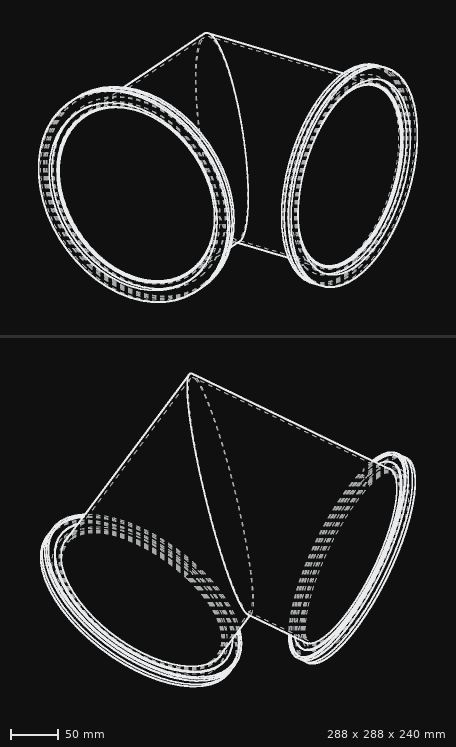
import cadquery as cq
leg_length = 168.0

tube_outer_diameter = 203.2
tube_inner_diameter = 197.0

flange_diameter = 240.0
flange_thickness = 12.0
flange_bore_diameter = 200.0
seal_recess_diameter = 213.0
seal_recess_depth = 5.0
socket_diameter = 204.0
socket_depth = 5.0
rim_groove_bottom_diameter = 235.0

hub_diameter = 218.3
rim_inner_diameter = 235.0
back_recess_depth = 1.7

flange_back = leg_length - flange_thickness
tube_end = flange_back + socket_depth


def ring(outer_diameter, inner_diameter, start, end):
    """Ring around the Y axis, between two distances from the origin toward -Y."""
    return (
        cq.Workplane("XZ", origin=(0, -start, 0))
        .circle(outer_diameter / 2)
        .circle(inner_diameter / 2)
        .extrude(end - start)
    )


def make_rim_groove():
    """Round groove that runs around the middle of the flange edge."""
    groove_radius = (flange_diameter - rim_groove_bottom_diameter) / 2
    groove_center = (flange_diameter / 2, -(leg_length - flange_thickness / 2))
    return (
        cq.Workplane("XY")
        .moveTo(*groove_center)
        .circle(groove_radius)
        .revolve(360, (0, 0, 0), (0, 1, 0))
    )


def make_flange():
    """Flange on the -Y leg, with a socket at the back that takes the tube end."""
    seal_floor = leg_length - seal_recess_depth
    return (
        ring(flange_diameter, flange_bore_diameter, flange_back, leg_length)
        .cut(ring(seal_recess_diameter, flange_bore_diameter, seal_floor, leg_length))
        .cut(ring(socket_diameter, flange_bore_diameter, flange_back, tube_end))
        .cut(ring(rim_inner_diameter, hub_diameter, flange_back, flange_back + back_recess_depth))
        .cut(make_rim_groove())
    )


def make_tube():
    """Tube of the -Y leg, kept only on its own side of the diagonal plane X + Y = 0."""
    reach = leg_length
    leg_side = (
        cq.Workplane("XY")
        .polyline([(-reach, reach), (reach, -reach), (-reach, -reach)])
        .close()
        .extrude(tube_outer_diameter, both=True)
    )
    return ring(tube_outer_diameter, tube_inner_diameter, -reach, tube_end).intersect(leg_side)


def on_x_leg(body):
    """Copy of a -Y leg body, reflected across the diagonal plane onto the +X leg."""
    return body.mirror("XZ").rotate((0, 0, 0), (0, 0, 1), -90)


tube = make_tube()
flange = make_flange()

bodies = []
for body in (tube, flange):
    bodies.append(body.val())
    bodies.append(on_x_leg(body).val())

result = cq.Compound.makeCompound(bodies)